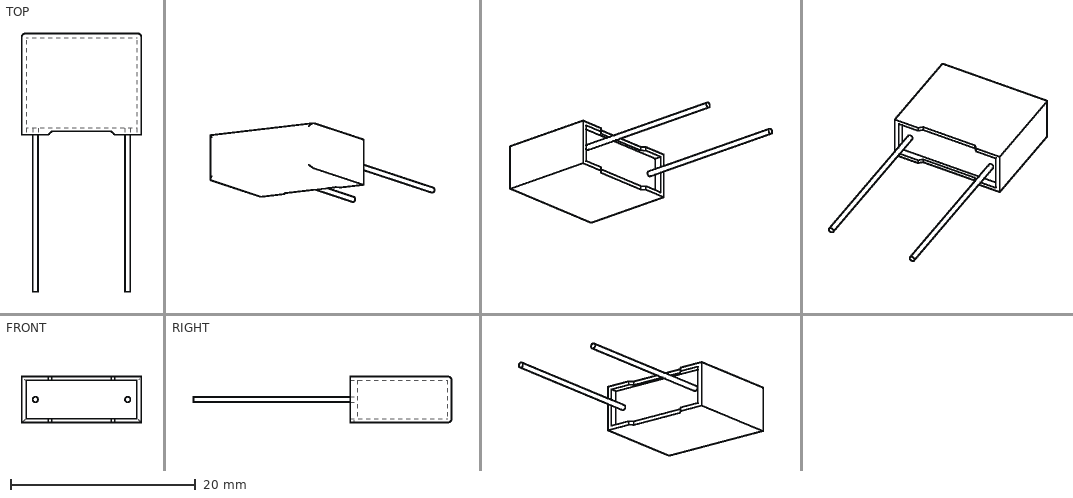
import cadquery as cq

overall_length = 28.0
case_width = 13.0
case_height = 5.0
case_depth = 11.0

side_wall = 0.5
face_wall = 0.42
back_wall = 0.5
back_edge_radius = 0.45
notch_floor_width = 6.4
notch_depth = 0.4
notch_flare = 0.4

potting_recess = 0.78
lead_spacing = 10.0
lead_diameter = 0.6

cavity_width = case_width - 2 * side_wall
cavity_height = case_height - 2 * face_wall
cavity_back = case_depth - back_wall
lead_tip = case_depth - overall_length


def box_along_y(width, height, front, back):
    """Box centred on X and Z that runs from front to back along Y."""
    return cq.Workplane("XY").box(width, back - front, height).translate((0, (front + back) / 2, 0))


def make_notch():
    """Flared notch through both large walls at the open face."""
    half_floor = notch_floor_width / 2
    half_mouth = half_floor + notch_flare
    return (
        cq.Workplane("XY")
        .moveTo(-half_mouth, 0)
        .lineTo(-half_floor, notch_depth)
        .lineTo(half_floor, notch_depth)
        .lineTo(half_mouth, 0)
        .close()
        .extrude(case_height, both=True)
    )


def make_case():
    """Open box with rounded back edges and a notched mouth."""
    shell = box_along_y(case_width, case_height, 0, case_depth)
    shell = shell.faces(">Y").edges().fillet(back_edge_radius)
    cavity = box_along_y(cavity_width, cavity_height, 0, cavity_back)
    return shell.cut(cavity).cut(make_notch())


def make_lead(x):
    """Round lead that starts on the face of the potting."""
    return (
        cq.Workplane("XZ", origin=(x, potting_recess, 0))
        .circle(lead_diameter / 2)
        .extrude(potting_recess - lead_tip)
    )


case = make_case()
potting = box_along_y(cavity_width, cavity_height, potting_recess, cavity_back)
leads = [make_lead(side * lead_spacing / 2) for side in (-1, 1)]

result = cq.Compound.makeCompound([case.val(), potting.val(), *[lead.val() for lead in leads]])